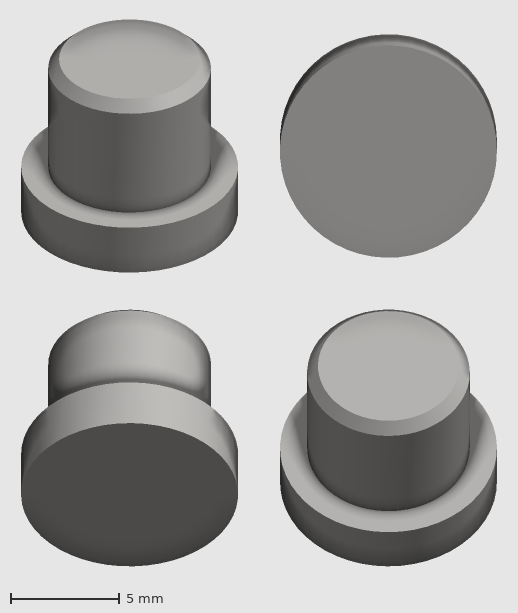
import cadquery as cq

flange_diameter = 10
flange_height = 2.5
pin_diameter = 7.5
total_height = 8.5
tip_chamfer = 0.5

flange = cq.Workplane("XY").circle(flange_diameter / 2).extrude(flange_height)

pin = (
    cq.Workplane("XY")
    .circle(pin_diameter / 2)
    .extrude(total_height)
    .faces(">Z")
    .chamfer(tip_chamfer)
)

result = flange.union(pin)